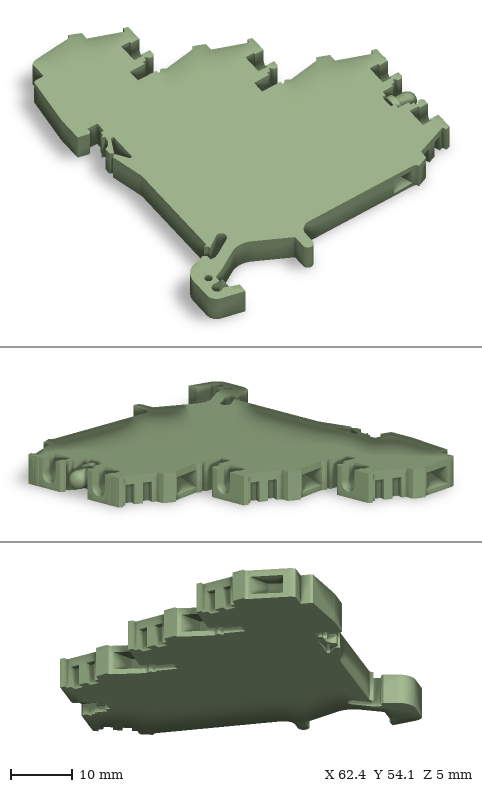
import cadquery as cq
THICKNESS = 5.0
MID_Z = THICKNESS / 2
OVERALL_HEIGHT = 54.1

TIER_COUNT = 3
TIER_STEP_X = 13.65
TIER_STEP_Y = 15.2
LOWEST_TIER_TOP_Y = 23.2
TIER_ORIGINS = [
    (i * TIER_STEP_X, LOWEST_TIER_TOP_Y + i * TIER_STEP_Y) for i in range(TIER_COUNT)
]
TOP_TIER_X, TOP_TIER_Y = TIER_ORIGINS[-1]

LAMP_X = TOP_TIER_X + 14.55

TIER_OUTER_SIDE = [
    (0.6, -9.75),
    (0.45, -9.25),
    (0.0, -9.05),
    (0.9, -7.0),
    (2.4, -7.0),
    (4.7, -1.05),
    (3.9, -0.8),
    (4.2, 0.0),
]
MARKER_SLOT_LEFT = 12.35
TIER_INNER_SIDE = [
    (11.35, 0.0),
    (11.8, -0.4),
    (11.8, -1.0),
    (11.2, -1.45),
    (11.2, -1.75),
    (11.8, -1.75),
    (11.8, -2.45),
    (MARKER_SLOT_LEFT, -2.45),
]
MARKER_SLOT_END = [
    (MARKER_SLOT_LEFT, -5.4),
    (14.65, -5.4),
    (14.65, -1.75),
    (15.2, -1.75),
    (15.2, -1.45),
    (14.8, -1.05),
    (14.8, -0.7),
    (15.2, -0.1),
]

FLANGE_DIAMETER = 2 * (LAMP_X - TOP_TIER_X - MARKER_SLOT_LEFT)
FLANGE_HEIGHT = 1.1
FLANGE_SEAT_Y = TOP_TIER_Y - 4.55
LAMP_DIAMETER = 3.1
LEAD_POCKET_WIDTH = 2.5
LEAD_POCKET_DEPTH = 0.75
LEAD_DIAMETER = 0.4
LEAD_SPACING = 0.45

SCREW_X = 8.85
SCREW_MOUTH_DIAMETER = 3.0
SCREW_MOUTH_DEPTH = 1.7
SCREW_HEAD_DIAMETER = 3.75
SCREW_HOLE_DEPTH = 3.4

FUNNEL_MOUTH_TOP = -10.0
FUNNEL_THROAT_TOP = -12.05
FUNNEL_BOTTOM = -15.5
FUNNEL_MOUTH_FLOOR = 0.9
FUNNEL_THROAT_FLOOR = 1.8
FUNNEL_CEILING = 3.85
FUNNEL_DEPTH = 3.45
FUNNEL_OVERSHOOT = 0.2
WIRE_FACE_SLOPE = 0.17

SHOULDER_LOW = cq.Vector(2.4, -7.0)
SHOULDER_HIGH = cq.Vector(4.7, -1.05)
NOTCH_TOPS = (-1.75, -4.7)
NOTCH_LENGTH = 1.6
NOTCH_DEPTH = 1.25
NOTCH_HEIGHT = 3.5

RIB_X = 6.35
RIB_WIDTH = 0.5
RIB_HEIGHT = 0.2
RIB_LENGTH = 4.5

WEB_TOP_Y = 5.35
WEB_THICKNESS = THICKNESS / 2
HOOK_TIP_X = 60.5
ARM_FOOT_X = 56.2
FOOT_HOLE_CENTER = (56.6, 2.4)
FOOT_HOLE_DIAMETER = 1.4
FOOT_HOLE_DEPTH = THICKNESS / 2


def place(points, origin):
    """Move tier points to a tier origin."""
    return [(origin[0] + x, origin[1] + y) for x, y in points]


def mirror_right(points):
    """Mirror absolute points about the lamp axis and reverse their order."""
    return [(2 * LAMP_X - x, y) for x, y in reversed(points)]


def upper_points():
    """Outline of the stepped tiers and the lamp pocket, from left to right."""
    points = []
    for origin in TIER_ORIGINS[:-1]:
        points += place(TIER_OUTER_SIDE + TIER_INNER_SIDE + MARKER_SLOT_END, origin)
    half_pocket = place(TIER_OUTER_SIDE + TIER_INNER_SIDE, TIER_ORIGINS[-1])
    lead_left = LAMP_X - LEAD_POCKET_WIDTH / 2
    half_pocket += [
        (TOP_TIER_X + MARKER_SLOT_LEFT, FLANGE_SEAT_Y),
        (lead_left, FLANGE_SEAT_Y),
        (lead_left, FLANGE_SEAT_Y - LEAD_POCKET_DEPTH),
    ]
    return points + half_pocket + mirror_right(half_pocket)


def make_plate():
    """Full-thickness plate with its rail feet, release arm and hook."""
    outline = cq.Workplane("XY").polyline(upper_points())
    outline = (
        outline.lineTo(55.9, 22.9)
        .threePointArc((56.45, 21.5), (57.85, 20.95))
        .lineTo(59.7, 20.95)
        .threePointArc((60.65, 20.0), (59.7, 19.1))
        .lineTo(57.4, 19.1)
        .lineTo(54.1, 12.8)
        .threePointArc((53.6, 10.8), (53.9, 9.25))
        .lineTo(ARM_FOOT_X, WEB_TOP_Y)
    )
    outline = (
        outline.lineTo(HOOK_TIP_X, WEB_TOP_Y)
        .lineTo(60.6, 5.75)
        .lineTo(62.4, 5.75)
        .lineTo(61.4, 1.6)
        .threePointArc((60.8, 0.55), (59.45, 0.0))
        .lineTo(55.7, 0.0)
        .threePointArc((53.85, 0.6), (52.7, 2.2))
        .lineTo(52.1, 4.4)
        .lineTo(52.5, 5.0)
        .lineTo(53.45, 5.0)
        .lineTo(53.45, 6.2)
    )
    outline = (
        outline.lineTo(51.35, 9.7)
        .threePointArc((50.2, 10.05), (49.65, 8.85))
        .lineTo(51.4, 6.3)
        .lineTo(50.9, 6.3)
        .lineTo(50.6, 5.75)
        .lineTo(50.35, 6.3)
        .lineTo(32.05, 6.3)
        .lineTo(26.0, 4.8)
    )
    outline = (
        outline.lineTo(25.6, 5.4)
        .lineTo(27.75, 6.9)
        .lineTo(27.75, 7.4)
        .lineTo(22.45, 7.4)
        .lineTo(22.45, 6.85)
        .lineTo(25.45, 5.4)
        .lineTo(25.0, 4.8)
        .lineTo(23.85, 4.8)
        .threePointArc((23.35, 5.7), (22.5, 6.2))
        .lineTo(21.6, 6.3)
        .lineTo(21.4, 5.75)
        .lineTo(21.0, 6.3)
        .lineTo(20.4, 6.3)
    )
    outline = (
        outline.lineTo(20.4, 6.9)
        .lineTo(18.5, 6.9)
        .lineTo(18.5, 5.0)
        .lineTo(19.2, 5.0)
        .lineTo(19.65, 4.6)
        .lineTo(19.15, 2.55)
        .lineTo(14.55, 2.55)
        .lineTo(5.2, 3.7)
        .lineTo(5.0, 4.2)
        .lineTo(5.0, 5.75)
        .lineTo(1.8, 5.75)
        .lineTo(1.45, 6.25)
        .lineTo(1.3, 6.85)
        .close()
    )
    return outline.extrude(THICKNESS)


def make_foot_recess():
    """Recess in the hook that leaves a thinner web, with a round pocket at its bottom."""
    return (
        cq.Workplane("XY", origin=(0, 0, WEB_THICKNESS))
        .moveTo(ARM_FOOT_X, WEB_TOP_Y)
        .lineTo(57.1, 3.5)
        .lineTo(58.15, 3.5)
        .lineTo(58.15, 2.4)
        .threePointArc((59.1, 1.45), (60.0, 2.4))
        .lineTo(59.7, 3.3)
        .lineTo(HOOK_TIP_X, WEB_TOP_Y)
        .close()
        .extrude(THICKNESS - WEB_THICKNESS)
    )


def make_foot_hole():
    """Blind round hole in the upper face of the foot."""
    return (
        cq.Workplane("XY", origin=(0, 0, THICKNESS - FOOT_HOLE_DEPTH))
        .center(*FOOT_HOLE_CENTER)
        .circle(FOOT_HOLE_DIAMETER / 2)
        .extrude(FOOT_HOLE_DEPTH)
    )


def make_open_bore(diameter, top_y, depth):
    """Round-bottomed bore along Y, with straight walls open to the upper face."""
    return (
        cq.Workplane("XZ", origin=(SCREW_X, top_y, 0))
        .moveTo(-diameter / 2, THICKNESS)
        .lineTo(-diameter / 2, MID_Z)
        .threePointArc((0, MID_Z - diameter / 2), (diameter / 2, MID_Z))
        .lineTo(diameter / 2, THICKNESS)
        .close()
        .extrude(depth)
    )


def make_screw_hole():
    """Narrow mouth that widens into the screw head chamber."""
    mouth = make_open_bore(SCREW_MOUTH_DIAMETER, 0, SCREW_MOUTH_DEPTH)
    chamber_depth = SCREW_HOLE_DEPTH - SCREW_MOUTH_DEPTH
    return mouth.union(make_open_bore(SCREW_HEAD_DIAMETER, -SCREW_MOUTH_DEPTH, chamber_depth))


def funnel_section(fraction):
    """Funnel outline parallel to the wire face; 0 is the mouth and 1 the throat."""
    top = FUNNEL_MOUTH_TOP + fraction * (FUNNEL_THROAT_TOP - FUNNEL_MOUTH_TOP)
    floor = FUNNEL_MOUTH_FLOOR + fraction * (FUNNEL_THROAT_FLOOR - FUNNEL_MOUTH_FLOOR)
    face_tip_x, face_tip_y = TIER_OUTER_SIDE[0]

    def corner(y, z):
        face_x = face_tip_x + WIRE_FACE_SLOPE * (face_tip_y - y)
        return cq.Vector(face_x + fraction * FUNNEL_DEPTH, y, z)

    corners = [
        corner(top, floor),
        corner(FUNNEL_BOTTOM, floor),
        corner(FUNNEL_BOTTOM, FUNNEL_CEILING),
        corner(top, FUNNEL_CEILING),
    ]
    return cq.Wire.makePolygon(corners, close=True)


def make_wire_funnel():
    """Tapered wire entry, started just outside the wire face."""
    sections = [funnel_section(-FUNNEL_OVERSHOOT), funnel_section(1)]
    return cq.Workplane(obj=cq.Solid.makeLoft(sections, True))


def make_shoulder_notch(top_y):
    """Square notch cut at right angles into the sloping shoulder."""
    along = (SHOULDER_LOW - SHOULDER_HIGH).normalized()
    inward = cq.Vector(-along.y, along.x)
    start = SHOULDER_HIGH + along * ((top_y - SHOULDER_HIGH.y) / along.y)
    end = start + along * NOTCH_LENGTH
    corners = [
        start - inward * NOTCH_DEPTH,
        start + inward * NOTCH_DEPTH,
        end + inward * NOTCH_DEPTH,
        end - inward * NOTCH_DEPTH,
    ]
    return cq.Workplane("XY").polyline([(c.x, c.y) for c in corners]).close().extrude(NOTCH_HEIGHT)


def make_tier_cutouts():
    """All the cut-outs of one tier, placed from the tier origin."""
    cutouts = [make_screw_hole(), make_wire_funnel()]
    cutouts += [make_shoulder_notch(top_y) for top_y in NOTCH_TOPS]
    return cutouts


def make_rib():
    """Low rib along Z on the left top land of the top tier."""
    return cq.Workplane("XY").box(RIB_WIDTH, 2 * RIB_HEIGHT, RIB_LENGTH).translate(
        (TOP_TIER_X + RIB_X, TOP_TIER_Y, MID_Z)
    )


def mirror_body(body):
    """Mirror a body about the lamp axis."""
    return body.mirror("YZ", (LAMP_X, 0, 0))


def make_housing():
    """Terminal block housing."""
    housing = make_plate().cut(make_foot_recess()).cut(make_foot_hole())
    for origin_x, origin_y in TIER_ORIGINS:
        for cutout in make_tier_cutouts():
            housing = housing.cut(cutout.translate((origin_x, origin_y, 0)))
    for cutout in make_tier_cutouts():
        housing = housing.cut(mirror_body(cutout.translate((TOP_TIER_X, TOP_TIER_Y, 0))))
    rib = make_rib()
    return housing.union(rib).union(mirror_body(rib))


def make_lamp():
    """Domed indicator lamp with a flange and two leads, turned about an axis along Y."""
    lamp_radius = LAMP_DIAMETER / 2
    flange_top_y = FLANGE_SEAT_Y + FLANGE_HEIGHT
    dome_base_y = OVERALL_HEIGHT - lamp_radius
    dome_mid = lamp_radius * 0.5**0.5
    lamp = (
        cq.Workplane("XY", origin=(LAMP_X, 0, MID_Z))
        .moveTo(0, FLANGE_SEAT_Y)
        .lineTo(FLANGE_DIAMETER / 2, FLANGE_SEAT_Y)
        .lineTo(FLANGE_DIAMETER / 2, flange_top_y)
        .lineTo(lamp_radius, flange_top_y)
        .lineTo(lamp_radius, dome_base_y)
        .threePointArc((dome_mid, dome_base_y + dome_mid), (0, OVERALL_HEIGHT))
        .close()
        .revolve(360, (0, 0, 0), (0, 1, 0))
    )
    leads = (
        cq.Workplane("XZ", origin=(LAMP_X, FLANGE_SEAT_Y, MID_Z))
        .rarray(LEAD_SPACING, 0.6, 2, 1)
        .circle(LEAD_DIAMETER / 2)
        .extrude(LEAD_POCKET_DEPTH)
    )
    return lamp.union(leads)


housing = make_housing()
lamp = make_lamp()

result = cq.Compound.makeCompound([housing.solids().val(), lamp.solids().val()])